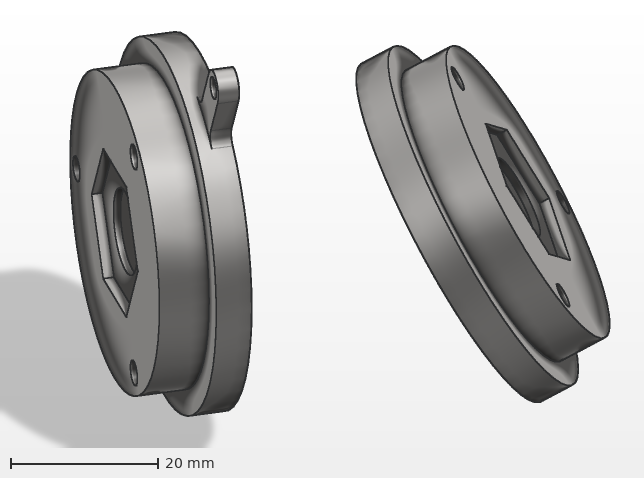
import cadquery as cq
import math

flange_diameter = 52.0
flange_thickness = 5.0
hub_diameter = 44.8
hub_thickness = 7.0

screw_hole_diameter = 3.5
screw_circle_radius = 19.2
screw_hole_angles = (60, 180, 300)

hex_across_flats = 20.0
hex_depth = 1.5
round_recess_diameter = 12.0
round_recess_depth = 1.0

arm_angle = 60
arm_reach = 34.5
arm_tip_radius = 2.5
arm_thickness = 3.0
arm_root_fillet = 2.0
arm_hole_diameter = 3.1
arm_hole_depth = 2.0

total_thickness = flange_thickness + hub_thickness
flange_radius = flange_diameter / 2


def plane_at(y):
    """XZ sketch plane at depth y; positive extrusion goes toward -Y."""
    return cq.Workplane("XZ", origin=(0, y, 0))


def polar_point(radius, angle):
    """Point in the disc plane at an angle in degrees from +X."""
    angle_rad = math.radians(angle)
    return radius * math.cos(angle_rad), radius * math.sin(angle_rad)


def make_disc():
    flange = plane_at(total_thickness).circle(flange_radius).extrude(flange_thickness)
    hub = plane_at(hub_thickness).circle(hub_diameter / 2).extrude(hub_thickness)
    return flange.union(hub)


def make_arm():
    """Rounded arm along +X with concave root fillets, turned to its angle."""
    center_offset = arm_tip_radius + arm_root_fillet
    center_distance = flange_radius + arm_root_fillet
    center_x = math.sqrt(center_distance**2 - center_offset**2)
    rim_scale = flange_radius / center_distance
    rim_x = center_x * rim_scale
    rim_y = center_offset * rim_scale

    side_direction = -math.pi / 2
    rim_direction = math.atan2(-center_offset, -center_x)
    middle_direction = (side_direction + rim_direction) / 2
    middle_x = center_x + arm_root_fillet * math.cos(middle_direction)
    middle_y = center_offset + arm_root_fillet * math.sin(middle_direction)

    arm = (
        plane_at(total_thickness)
        .moveTo(0, rim_y)
        .lineTo(rim_x, rim_y)
        .threePointArc((middle_x, middle_y), (center_x, arm_tip_radius))
        .lineTo(arm_reach, arm_tip_radius)
        .threePointArc((arm_reach + arm_tip_radius, 0), (arm_reach, -arm_tip_radius))
        .lineTo(center_x, -arm_tip_radius)
        .threePointArc((middle_x, -middle_y), (rim_x, -rim_y))
        .lineTo(0, -rim_y)
        .close()
        .extrude(arm_thickness)
    )
    return arm.rotate((0, 0, 0), (0, -1, 0), arm_angle)


def make_screw_holes():
    centers = [polar_point(screw_circle_radius, angle) for angle in screw_hole_angles]
    return (
        plane_at(total_thickness)
        .pushPoints(centers)
        .circle(screw_hole_diameter / 2)
        .extrude(total_thickness)
    )


def make_center_recess():
    hex_across_corners = hex_across_flats / math.cos(math.pi / 6)
    full_depth = hex_depth + round_recess_depth
    hex_recess = plane_at(hex_depth).polygon(6, hex_across_corners).extrude(hex_depth)
    round_recess = plane_at(full_depth).circle(round_recess_diameter / 2).extrude(full_depth)
    return hex_recess.union(round_recess)


def make_arm_hole():
    """Blind hole at the arm tip, open toward the hub side."""
    arm_front = total_thickness - arm_thickness
    return (
        plane_at(arm_front + arm_hole_depth)
        .center(*polar_point(arm_reach, arm_angle))
        .circle(arm_hole_diameter / 2)
        .extrude(arm_hole_depth)
    )


result = (
    make_disc()
    .union(make_arm())
    .cut(make_screw_holes())
    .cut(make_center_recess())
    .cut(make_arm_hole())
)